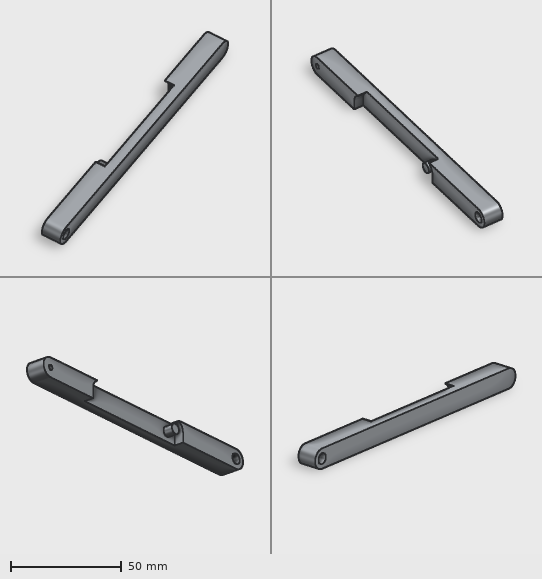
import cadquery as cq
import math

length = 140.0
width = 10.0
thickness = 10.0
pivot_y = (length - width) / 2
outer_face_x = -thickness / 2
top_z = width / 2

through_hole_diameter = 5.2
blind_hole_diameter = 2.5
blind_hole_depth = 5.0
pin_diameter = 5.0
pin_y = -22.5

recess_depth = 5.0
recess_corner_radius = 5.3
recess_far_arc_y = 30.0
recess_mouth_overhang = 2.5


def profile_plane():
    """Sketch plane on the -X face, extruding inward."""
    return cq.Workplane("YZ", origin=(outer_face_x, 0, 0))


def cylinder_along_x(diameter, depth, y):
    """Cylinder starting on the -X face and running inward."""
    return profile_plane().center(y, 0).circle(diameter / 2).extrude(depth)


def make_bar():
    return profile_plane().slot2D(length, width).extrude(thickness)


def make_recess():
    """Walls rise to mid-height, arc inward, then step straight up through the top face."""
    low_wall_y = pin_y - recess_corner_radius
    high_wall_y = recess_far_arc_y + recess_corner_radius
    low_mouth_y = pin_y - recess_mouth_overhang
    high_mouth_y = recess_far_arc_y + recess_mouth_overhang

    arc_angle = math.acos(recess_mouth_overhang / recess_corner_radius)
    arc_end_z = recess_corner_radius * math.sin(arc_angle)
    arc_middle_reach = recess_corner_radius * math.cos(arc_angle / 2)
    arc_middle_z = recess_corner_radius * math.sin(arc_angle / 2)

    return (
        profile_plane()
        .moveTo(low_wall_y, -top_z)
        .lineTo(high_wall_y, -top_z)
        .lineTo(high_wall_y, 0)
        .threePointArc((recess_far_arc_y + arc_middle_reach, arc_middle_z), (high_mouth_y, arc_end_z))
        .lineTo(high_mouth_y, top_z)
        .lineTo(low_mouth_y, top_z)
        .lineTo(low_mouth_y, arc_end_z)
        .threePointArc((pin_y - arc_middle_reach, arc_middle_z), (low_wall_y, 0))
        .close()
        .extrude(recess_depth)
    )


through_hole = cylinder_along_x(through_hole_diameter, thickness, -pivot_y)
blind_hole = cylinder_along_x(blind_hole_diameter, blind_hole_depth, pivot_y)
pin = cylinder_along_x(pin_diameter, recess_depth, pin_y)

result = make_bar().cut(make_recess()).union(pin).cut(through_hole).cut(blind_hole)